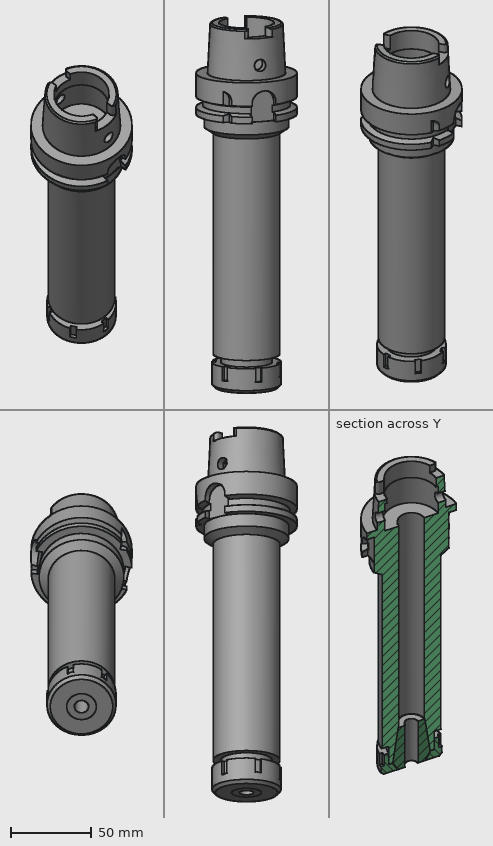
import cadquery as cq
import math


TOTAL_LENGTH = 232.0
SHANK_LENGTH = 32.0
SHANK_BASE_RADIUS = 24.4
SHANK_TAPER = 0.05
RIM_BEVEL_WIDTH = 1.2
RIM_BEVEL_HEIGHT = 1.0
MOUTH_RADIUS = 17.2
MOUTH_DEPTH = 13.2
UNDERCUT_RADIUS = 18.5
CAVITY_DEPTH = 34.8
ACCESS_HOLE_RADIUS = 3.7
ACCESS_HOLE_DEPTH = 22.7
DRIVE_NOTCH_WIDTH = 12.5
DRIVE_NOTCH_ROUND = 2.0
SHALLOW_NOTCH_DEPTH = 5.8
DEEP_NOTCH_DEPTH = 9.7

FLANGE_RADIUS = 31.5
FLANGE_HEIGHT = 26.0
LOWER_RIM_HEIGHT = 4.2
GROOVE_RADIUS = 27.4
GROOVE_FLOOR_HEIGHT = 4.2
GROOVE_BEVEL_HEIGHT = 1.5
COLLAR_RADIUS = 26.5
COLLAR_HEIGHT = 8.1
COLLAR_CONE_HEIGHT = 3.7
BODY_RADIUS = 20.9
BODY_BOTTOM = 21.0
BORE_RADIUS = 8.8
KEYWAY_WIDTH = 16.0
KEYWAY_HEIGHT = 20.5
SIDE_SLOT_WIDTH = 11.5
SIDE_SLOT_FLOOR = 20.9
SIDE_SLOT_INNER_WALL = 19.5
SIDE_SLOT_HEIGHT = 20.0

NOSE_RADIUS = 16.0
NOSE_BOTTOM = 6.5
NUT_RADIUS = 21.5
NUT_HEIGHT = 16.0
NUT_BEVEL_WIDTH = 2.0
NUT_BEVEL_HEIGHT = 2.0
SPANNER_SLOT_COUNT = 6
SPANNER_SLOT_WIDTH = 4.0
SPANNER_SLOT_FLOOR = 19.5
SPANNER_SLOT_BOTTOM = 7.2
COLLET_RADIUS = 13.0
COLLET_LENGTH = 34.0
COLLET_BORE_RADIUS = 4.5
COLLET_TAPER = 8.0
COLLET_FRONT_TAPER = 30.0

flange_top = TOTAL_LENGTH - SHANK_LENGTH
flange_bottom = flange_top - FLANGE_HEIGHT
lower_rim_top = flange_bottom + LOWER_RIM_HEIGHT
groove_floor_bottom = lower_rim_top + GROOVE_BEVEL_HEIGHT
groove_floor_top = groove_floor_bottom + GROOVE_FLOOR_HEIGHT
groove_top = groove_floor_top + GROOVE_BEVEL_HEIGHT
collar_bottom = flange_bottom - COLLAR_HEIGHT
body_top = collar_bottom - COLLAR_CONE_HEIGHT

bevel_bottom = TOTAL_LENGTH - RIM_BEVEL_HEIGHT
bevel_radius = SHANK_BASE_RADIUS - SHANK_TAPER * (SHANK_LENGTH - RIM_BEVEL_HEIGHT)
mouth_bottom = TOTAL_LENGTH - MOUTH_DEPTH
cavity_floor = TOTAL_LENGTH - CAVITY_DEPTH

collet_taper_length = COLLET_LENGTH - NOSE_BOTTOM
collet_rear_radius = COLLET_RADIUS - collet_taper_length * math.tan(math.radians(COLLET_TAPER))
collet_front_radius = COLLET_RADIUS - NOSE_BOTTOM * math.tan(math.radians(COLLET_FRONT_TAPER))


def revolved(profile):
    """Solid of revolution about Z from (radius, height) points."""
    return cq.Workplane("XZ").polyline(profile).close().revolve(360, (0, 0, 0), (0, 1, 0))


def holder_blank():
    """Turned holder: shank, grooved flange, collar, long body, nose and the stepped bore."""
    return revolved([
        (BORE_RADIUS, cavity_floor),
        (UNDERCUT_RADIUS, cavity_floor),
        (UNDERCUT_RADIUS, mouth_bottom),
        (MOUTH_RADIUS, mouth_bottom),
        (MOUTH_RADIUS, TOTAL_LENGTH),
        (bevel_radius - RIM_BEVEL_WIDTH, TOTAL_LENGTH),
        (bevel_radius, bevel_bottom),
        (SHANK_BASE_RADIUS, flange_top),
        (FLANGE_RADIUS, flange_top),
        (FLANGE_RADIUS, groove_top),
        (GROOVE_RADIUS, groove_floor_top),
        (GROOVE_RADIUS, groove_floor_bottom),
        (FLANGE_RADIUS, lower_rim_top),
        (FLANGE_RADIUS, flange_bottom),
        (COLLAR_RADIUS, flange_bottom),
        (COLLAR_RADIUS, collar_bottom),
        (BODY_RADIUS, body_top),
        (BODY_RADIUS, BODY_BOTTOM),
        (NOSE_RADIUS, BODY_BOTTOM),
        (NOSE_RADIUS, NOSE_BOTTOM),
        (COLLET_RADIUS, NOSE_BOTTOM),
        (collet_rear_radius, COLLET_LENGTH),
        (BORE_RADIUS, COLLET_LENGTH),
    ])


def drive_notch(side, depth):
    """Cutter for a notch in the shank rim on the +X (side 1) or -X (side -1) side."""
    return (
        cq.Workplane("XY", origin=(0, 0, TOTAL_LENGTH - depth))
        .center(side * SHANK_BASE_RADIUS / 2, 0)
        .rect(SHANK_BASE_RADIUS, DRIVE_NOTCH_WIDTH)
        .extrude(depth)
    )


def notch_corner_round(side, end, depth):
    """Cutter that rounds the outer upright corner of a notch wall on the +Y or -Y end.

    It is the corner left over outside a cylinder tangent to the wall and to the shank.
    """
    wall = end * DRIVE_NOTCH_WIDTH / 2
    axis_y = wall + end * DRIVE_NOTCH_ROUND
    axis_distance = bevel_radius - DRIVE_NOTCH_ROUND
    axis_x = side * math.sqrt(axis_distance ** 2 - axis_y ** 2)
    reach = SHANK_BASE_RADIUS / axis_distance
    corner = (
        cq.Workplane("XY", origin=(0, 0, TOTAL_LENGTH - depth))
        .polyline([
            (axis_x, axis_y),
            (axis_x * reach, axis_y * reach),
            (side * SHANK_BASE_RADIUS, wall),
            (axis_x, wall),
        ])
        .close()
        .extrude(depth)
    )
    round_post = (
        cq.Workplane("XY", origin=(axis_x, axis_y, TOTAL_LENGTH - depth))
        .circle(DRIVE_NOTCH_ROUND)
        .extrude(depth)
    )
    return corner.cut(round_post)


def rounded_slot(center_y, width, height, floor, side):
    """Cutter for an upright slot milled along X into the flange, open downward.

    The floor lies at X = side * floor and the upper end is a half circle.
    """
    radius = width / 2
    arc_level = flange_bottom + height - radius
    outline = (
        cq.Workplane("YZ", origin=(side * floor, 0, 0))
        .moveTo(center_y - radius, flange_bottom)
        .lineTo(center_y - radius, arc_level)
        .threePointArc((center_y, arc_level + radius), (center_y + radius, arc_level))
        .lineTo(center_y + radius, flange_bottom)
        .close()
    )
    return outline.extrude(side * FLANGE_RADIUS)


def make_holder():
    holder = holder_blank()

    for side, depth in ((-1, SHALLOW_NOTCH_DEPTH), (1, DEEP_NOTCH_DEPTH)):
        holder = holder.cut(drive_notch(side, depth))
        for end in (-1, 1):
            holder = holder.cut(notch_corner_round(side, end, depth))

    access_hole = (
        cq.Workplane("YZ", origin=(0, 0, TOTAL_LENGTH - ACCESS_HOLE_DEPTH))
        .circle(ACCESS_HOLE_RADIUS)
        .extrude(SHANK_BASE_RADIUS, both=True)
    )
    holder = holder.cut(access_hole)

    for side in (-1, 1):
        holder = holder.cut(rounded_slot(0, KEYWAY_WIDTH, KEYWAY_HEIGHT, COLLAR_RADIUS, side))

    slot_center = SIDE_SLOT_INNER_WALL + SIDE_SLOT_WIDTH / 2
    side_slot = rounded_slot(slot_center, SIDE_SLOT_WIDTH, SIDE_SLOT_HEIGHT, SIDE_SLOT_FLOOR, -1)
    return holder.cut(side_slot)


def make_nut():
    """Clamping nut: screwed over the nose, with a conical seat that holds the collet."""
    nut = revolved([
        (collet_front_radius, 0),
        (NUT_RADIUS - NUT_BEVEL_WIDTH, 0),
        (NUT_RADIUS, NUT_BEVEL_HEIGHT),
        (NUT_RADIUS, NUT_HEIGHT),
        (NOSE_RADIUS, NUT_HEIGHT),
        (NOSE_RADIUS, NOSE_BOTTOM),
        (COLLET_RADIUS, NOSE_BOTTOM),
    ])
    slot_depth = NUT_RADIUS - SPANNER_SLOT_FLOOR
    slot_height = NUT_HEIGHT - SPANNER_SLOT_BOTTOM
    slot = cq.Workplane("XY").box(
        slot_depth, SPANNER_SLOT_WIDTH, slot_height, centered=(False, True, False)
    ).translate((SPANNER_SLOT_FLOOR, 0, SPANNER_SLOT_BOTTOM))
    for index in range(SPANNER_SLOT_COUNT):
        angle = index * 360 / SPANNER_SLOT_COUNT
        nut = nut.cut(slot.rotate((0, 0, 0), (0, 0, 1), angle))
    return nut


def make_collet():
    """Double-tapered collet seated between the nose socket and the nut."""
    return revolved([
        (COLLET_BORE_RADIUS, 0),
        (collet_front_radius, 0),
        (COLLET_RADIUS, NOSE_BOTTOM),
        (collet_rear_radius, COLLET_LENGTH),
        (COLLET_BORE_RADIUS, COLLET_LENGTH),
    ])


holder = make_holder()
nut = make_nut()
collet = make_collet()

result = cq.Compound.makeCompound([holder.val(), nut.val(), collet.val()])